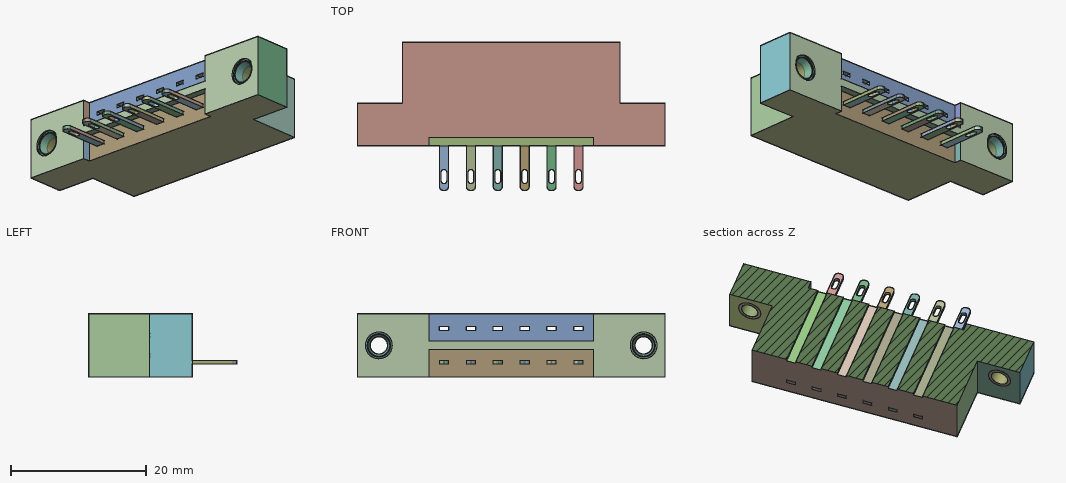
import cadquery as cq

WIDTH = 45.3
HEIGHT = 9.4
FLANGE_DEPTH = 6.3
BLOCK_WIDTH = 32.05
BLOCK_DEPTH = 8.95
HOUSING_DEPTH = FLANGE_DEPTH + BLOCK_DEPTH

RECESS_WIDTH = 24.2
RECESS_DEPTH = 1.22
LEDGE_THICKNESS = 1.22
RECESS_HEIGHT = (HEIGHT - LEDGE_THICKNESS) / 2

CONTACT_COUNT = 6
ROW_SPAN = 19.8
ROW_OFFSET = 2.5
CONTACT_PITCH = ROW_SPAN / (CONTACT_COUNT - 1)
CONTACT_XS = [i * CONTACT_PITCH - ROW_SPAN / 2 for i in range(CONTACT_COUNT)]

PIN_WIDTH = 1.35
PIN_THICKNESS = 0.55
PIN_PROTRUSION = 6.55
PIN_TIP_RADIUS = 0.6
EYE_WIDTH = 0.8
EYE_LENGTH = 2.05
EYE_TO_TIP = 1.05

BUSHING_SPACING = 38.95
COUNTERBORE_DIAMETER = 3.95
COUNTERBORE_DEPTH = 0.25
BUSHING_DIAMETER = 3.45
MOUTH_DIAMETER = 3.2
MOUTH_DEPTH = 1.22
BORE_DIAMETER = 2.55
BUSHING_LENGTH = FLANGE_DEPTH - COUNTERBORE_DEPTH
BUSHING_XS = [-BUSHING_SPACING / 2, BUSHING_SPACING / 2]


def box_from_front(width, depth, height, front_y, center_z=0.0, center_x=0.0):
    """Box centred on center_x and center_z that runs back from front_y."""
    box = cq.Workplane("XY").box(width, depth, height, centered=(True, False, True))
    return box.translate((center_x, front_y, center_z))


def cylinder_along_y(diameter, length, front_y, center_x):
    """Cylinder at mid-height that runs back from front_y."""
    cylinder = cq.Workplane("XZ").circle(diameter / 2).extrude(-length)
    return cylinder.translate((center_x, front_y, 0))


def make_housing():
    """Stepped housing with recesses, two rows of through slots and bushing holes."""
    body = box_from_front(WIDTH, FLANGE_DEPTH, HEIGHT, 0)
    body = body.union(box_from_front(BLOCK_WIDTH, BLOCK_DEPTH, HEIGHT, FLANGE_DEPTH))

    recess_z = (LEDGE_THICKNESS + RECESS_HEIGHT) / 2
    for side in (-1, 1):
        body = body.cut(box_from_front(RECESS_WIDTH, RECESS_DEPTH, RECESS_HEIGHT, 0, side * recess_z))
        for x in CONTACT_XS:
            slot = box_from_front(PIN_WIDTH, HOUSING_DEPTH, PIN_THICKNESS, 0, side * ROW_OFFSET, x)
            body = body.cut(slot)

    for x in BUSHING_XS:
        body = body.cut(cylinder_along_y(BUSHING_DIAMETER, FLANGE_DEPTH, 0, x))
        body = body.cut(cylinder_along_y(COUNTERBORE_DIAMETER, COUNTERBORE_DEPTH, 0, x))
    return body


def make_pin(center_x):
    """Flat pin with a rounded tip and a solder eye, reaching the back of the housing."""
    length = PIN_PROTRUSION + HOUSING_DEPTH
    pin = box_from_front(PIN_WIDTH, length, PIN_THICKNESS, -PIN_PROTRUSION)
    pin = pin.edges("|Z and <Y").fillet(PIN_TIP_RADIUS)
    eye_y = -PIN_PROTRUSION + EYE_TO_TIP + EYE_LENGTH / 2
    eye = cq.Workplane("XY").center(0, eye_y).slot2D(EYE_LENGTH, EYE_WIDTH, 90)
    eye = eye.extrude(PIN_THICKNESS, both=True)
    return pin.cut(eye).translate((center_x, 0, -ROW_OFFSET))


def make_bushing(center_x):
    """Sleeve whose bore opens in a cone at the front."""
    sleeve = cylinder_along_y(BUSHING_DIAMETER, BUSHING_LENGTH, COUNTERBORE_DEPTH, center_x)
    bore = cylinder_along_y(BORE_DIAMETER, BUSHING_LENGTH, COUNTERBORE_DEPTH, center_x)
    mouth_center = cq.Vector(center_x, COUNTERBORE_DEPTH, 0)
    mouth = cq.Solid.makeCone(
        MOUTH_DIAMETER / 2, BORE_DIAMETER / 2, MOUTH_DEPTH, mouth_center, cq.Vector(0, 1, 0)
    )
    return sleeve.cut(bore).cut(cq.Workplane(mouth))


housing = make_housing()
pins = [make_pin(x).val() for x in CONTACT_XS]
bushings = [make_bushing(x).val() for x in BUSHING_XS]

result = cq.Compound.makeCompound([housing.val(), *pins, *bushings])